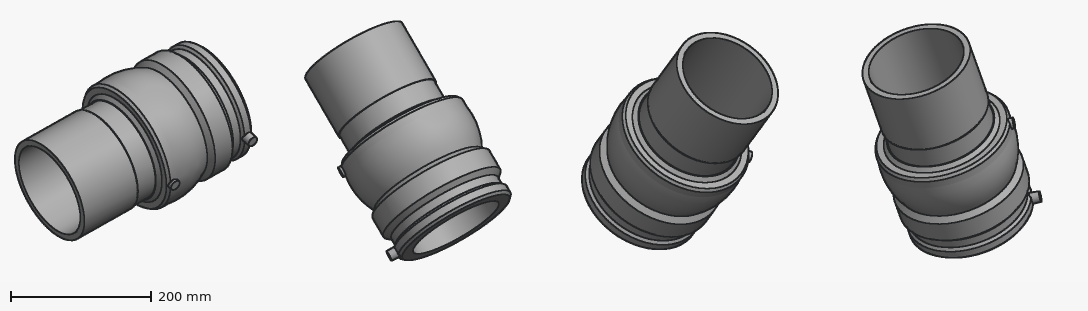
import cadquery as cq
import math

length = 298.0
bore_radius = 141.0 / 2
spigot_radius = 160.0 / 2
spigot_neck_radius = 156.7 / 2
groove_radius = 176.0 / 2
band_radius = 193.0 / 2
lip_radius = 92.5

spigot_length = 97.7
shoulder_y = 130.5
step_y = 136.5
shoulder_radius = 80.0
step_radius = 86.0
step_outer_radius = 96.5

sphere_radius = 101.0
sphere_y = 168.5
collar_top_y = 153.2
collar_bottom_y = 141.3
bulge_top_y = 217.2

band_bottom_y = 225.3
band_top_y = 257.0
groove_bottom_y = 265.0

lip_width = 20.0
lip_chamfer = 4.2
lip_bottom_y = length - lip_width

pin_root_x = 86.5
pin_tip_x = 104.0
pin_root_radius = 8.5
pin_tip_radius = 15.8 / 2
lip_pin_y = length - lip_width / 2
collar_pin_y = 146.5


def sphere_section_radius(y):
    """Radius of the spherical bulge at height y along the axis."""
    return math.sqrt(sphere_radius**2 - (y - sphere_y) ** 2)


def make_body():
    collar_radius = sphere_section_radius(collar_top_y)
    lip_edge_radius = lip_radius - lip_chamfer
    return (
        cq.Workplane("XY")
        .moveTo(bore_radius, 0)
        .lineTo(spigot_radius, 0)
        .lineTo(spigot_radius, spigot_length)
        .lineTo(spigot_neck_radius, spigot_length)
        .lineTo(spigot_neck_radius, shoulder_y)
        .lineTo(shoulder_radius, shoulder_y)
        .lineTo(step_radius, step_y)
        .lineTo(step_outer_radius, step_y)
        .lineTo(collar_radius, collar_bottom_y)
        .lineTo(collar_radius, collar_top_y)
        .threePointArc((sphere_radius, sphere_y), (sphere_section_radius(bulge_top_y), bulge_top_y))
        .lineTo(band_radius, band_bottom_y)
        .lineTo(band_radius, band_top_y)
        .lineTo(groove_radius, groove_bottom_y)
        .lineTo(groove_radius, lip_bottom_y)
        .lineTo(lip_edge_radius, lip_bottom_y)
        .lineTo(lip_radius, lip_bottom_y + lip_chamfer)
        .lineTo(lip_radius, length - lip_chamfer)
        .lineTo(lip_edge_radius, length)
        .lineTo(bore_radius, length)
        .close()
        .revolve(360, (0, 0, 0), (0, 1, 0))
    )


def make_pin(y):
    """Tapered pin rooted inside the wall at height y along the axis."""
    pin = cq.Solid.makeCone(
        pin_root_radius,
        pin_tip_radius,
        pin_tip_x - pin_root_x,
        pnt=cq.Vector(pin_root_x, y, 0),
        dir=cq.Vector(1, 0, 0),
    )
    return cq.Workplane(obj=pin)


result = make_body()
for pin_y in (lip_pin_y, collar_pin_y):
    result = result.union(make_pin(pin_y))